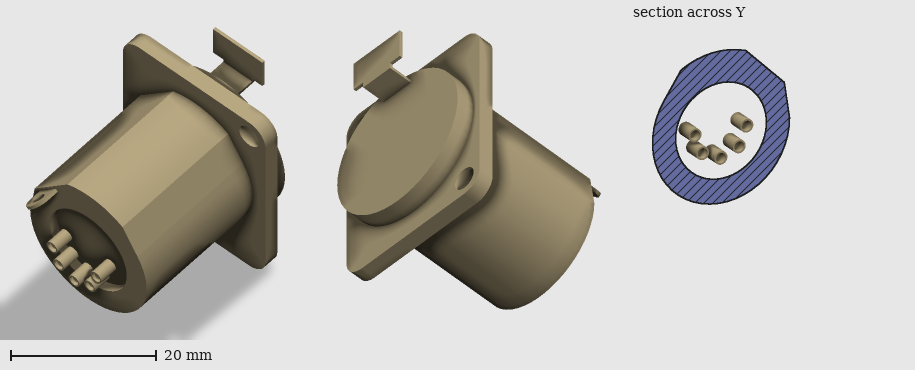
import cadquery as cq
import math


total_length = 35.5
total_height = 31.25

plate_width = 26.0
plate_height = 31.0
plate_thickness = 2.5
plate_corner_radius = 3.0
mount_hole_x = 10.0
mount_hole_z = 12.5
mount_hole_radius = 1.8

bezel_radius = 11.75
bezel_thickness = 3.0

latch_reach = 4.0
latch_thickness = 0.5
latch_neck_width = 5.25
latch_tab_width = 9.0
latch_bottom_z = 9.7
latch_tab_step = 1.0

tag_width = 4.0
tag_length = tag_width
tag_thickness = 0.5
tag_hole_radius = 1.0
tag_outer_distance = 10.22
tag_side_offset = -0.43

barrel_radius = 10.65
barrel_top_radius = bezel_radius
top_arc_left_x = -3.85
top_arc_right_x = 6.2
left_corner_x = -9.85
left_corner_z = 5.35

top_arc_left_z = math.sqrt(barrel_top_radius**2 - top_arc_left_x**2)
flat_rise = top_arc_left_z - left_corner_z
flat_run = top_arc_left_x - left_corner_x
tag_tilt = math.degrees(math.atan2(flat_rise, flat_run))

recess_radius = 7.0
recess_depth = 1.5

pin_count = 5
pin_spacing_angle = 45.0
pin_circle_radius = 4.0
pin_radius = 1.0
pin_bore_radius = 0.75
pin_projection = 3.0

plate_front = plate_thickness
bezel_front = plate_front + bezel_thickness
latch_front = bezel_front + latch_reach
tag_end = latch_front - total_length
barrel_end = tag_end + tag_length
recess_floor = barrel_end + recess_depth


def plane_at(y):
    """Sketch plane across the axis, with local axes X and Z and its normal toward -Y."""
    return cq.Workplane("XZ", origin=(0, y, 0))


def box_between(x_min, x_max, y_min, y_max, z_min, z_max):
    size = (x_max - x_min, y_max - y_min, z_max - z_min)
    return cq.Workplane("XY").box(*size, centered=False).translate((x_min, y_min, z_min))


def make_plate():
    holes = [(mount_hole_x, mount_hole_z), (-mount_hole_x, -mount_hole_z)]
    plate = plane_at(plate_front).rect(plate_width, plate_height).extrude(plate_thickness)
    plate = plate.edges("|Y").fillet(plate_corner_radius)
    cutters = plane_at(plate_front).pushPoints(holes).circle(mount_hole_radius).extrude(plate_thickness)
    return plate.cut(cutters)


def make_barrel():
    top_right = (top_arc_right_x, math.sqrt(barrel_top_radius**2 - top_arc_right_x**2))
    tangent_angle = math.atan2(top_right[1], top_right[0]) - math.acos(barrel_radius / barrel_top_radius)
    right_tangent = (barrel_radius * math.cos(tangent_angle), barrel_radius * math.sin(tangent_angle))
    barrel = (
        plane_at(0)
        .moveTo(-barrel_radius, 0)
        .lineTo(left_corner_x, left_corner_z)
        .lineTo(top_arc_left_x, top_arc_left_z)
        .threePointArc((0, barrel_top_radius), top_right)
        .lineTo(*right_tangent)
        .threePointArc((0, -barrel_radius), (-barrel_radius, 0))
        .close()
        .extrude(-barrel_end)
    )
    recess = plane_at(recess_floor).circle(recess_radius).extrude(recess_depth)
    return barrel.cut(recess)


def make_latch():
    half_neck = latch_neck_width / 2
    half_tab = latch_tab_width / 2
    latch_top_z = total_height - plate_height / 2
    tab_bottom_z = latch_bottom_z + latch_tab_step
    tab_back = latch_front - latch_thickness
    neck = box_between(
        -half_neck, half_neck, bezel_front, latch_front, latch_bottom_z, latch_bottom_z + latch_thickness
    )
    bend = box_between(-half_neck, half_neck, tab_back, latch_front, latch_bottom_z, tab_bottom_z)
    tab = box_between(-half_tab, half_tab, tab_back, latch_front, tab_bottom_z, latch_top_z)
    return neck.union(bend).union(tab)


def make_solder_tag():
    """Round-ended tag with an eye, made flat above the axis and tilted toward -X."""
    end_radius = tag_width / 2
    eye_y = tag_end + end_radius
    tag = (
        cq.Workplane("XY", origin=(tag_side_offset, 0, tag_outer_distance - tag_thickness))
        .moveTo(-end_radius, barrel_end)
        .lineTo(-end_radius, eye_y)
        .threePointArc((0, tag_end), (end_radius, eye_y))
        .lineTo(end_radius, barrel_end)
        .close()
        .moveTo(0, eye_y)
        .circle(tag_hole_radius)
        .extrude(tag_thickness)
    )
    return tag.rotate((0, 0, 0), (0, 1, 0), -tag_tilt)


def make_housing():
    bezel = plane_at(bezel_front).circle(bezel_radius).extrude(bezel_thickness)
    housing = make_plate().union(bezel).union(make_barrel())
    return housing.union(make_latch()).union(make_solder_tag())


def make_pin(x, z):
    """Tubular solder pin that starts level with the barrel end and stands clear of the recess floor."""
    tube = plane_at(barrel_end).center(x, z).circle(pin_radius).circle(pin_bore_radius)
    return tube.extrude(pin_projection)


housing = make_housing()

pins = []
for index in range(pin_count):
    angle = math.radians(180 + index * pin_spacing_angle)
    pin_x = pin_circle_radius * math.cos(angle)
    pin_z = pin_circle_radius * math.sin(angle)
    pins.append(make_pin(pin_x, pin_z))

result = cq.Compound.makeCompound([housing.val(), *[pin.val() for pin in pins]])